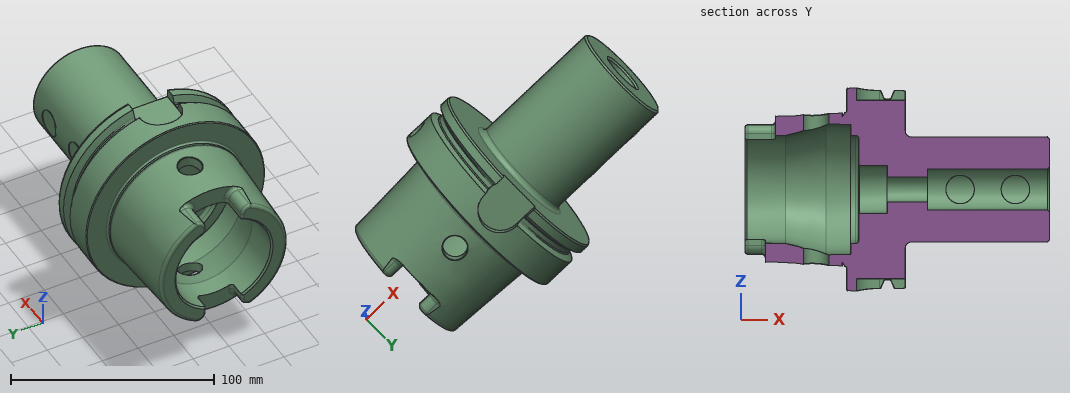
import cadquery as cq
import math


shank_length = 50.0
taper_slope = 1 / 20
root_radius = 37.75
taper_end_x = -2.8
tip_radius = root_radius - taper_slope * (shank_length + taper_end_x)
tip_fillet = 1.8

root_groove_x = -2.0
root_groove_depth = 1.6
collar_radius = 37.9
collar_fillet = 1.0

flange_radius = 50.0
flange_width = 29.0
flange_front_chamfer = 0.5
flange_rear_chamfer_length = 1.0
flange_rear_chamfer_height = 0.5

grip_groove_x = 20.15
grip_groove_radius = 46.0
grip_groove_half_floor = 1.6
grip_groove_half_mouth = 3.4
grip_groove_fillet = 0.7

nose_radius = 26.0
nose_end = 99.9
nose_chamfer = 1.0
neck_fillet = 3.0

entry_radius = 26.5
entry_chamfer = 0.9
entry_depth = 20.0
undercut_radius = 32.0
undercut_cone_length = 20.0
undercut_end_x = 2.0
cavity_floor_x = 6.0
cavity_fillet = 1.5
thread_radius = 11.8
thread_chamfer = 0.4
thread_depth = 14.0
coolant_hole_radius = 6.1
tool_bore_radius = 10.0
tool_bore_depth = 60.0
tool_bore_chamfer = 1.0

slot_half_width = 10.0
slot_top = 31.9
slot_lip_radius = 4.3
slot_lip_slope = math.radians(8)
slot_floor_fillet = 1.9
slot_mouth_fillet = 1.5
upper_slot_depth = 15.0
lower_slot_depth = 10.0

cross_hole_x = -15.0
cross_hole_radius = 6.15
cross_hole_chamfer = 0.3
chip_hole_x = 7.1
chip_hole_radius = 5.0
chip_hole_depth = 4.6

keyway_half_width = 11.1
keyway_start_x = 5.0
keyway_floor = 44.0

screw_radius = 7.0
screw_x_places = (55.9, 83.1)
screw_head_y = 25.4


def turn(profile):
    """Closes a profile that ends on the X axis and revolves it about that axis."""
    return profile.close().revolve(360, (0, 0, 0), (1, 0, 0))


def turned_body():
    """Outside shape of shank, flange and nose."""
    body = turn(
        cq.Workplane("XY")
        .moveTo(-shank_length, 0)
        .lineTo(-shank_length, tip_radius)
        .lineTo(taper_end_x, root_radius)
        .lineTo(root_groove_x, root_radius)
        .lineTo(root_groove_x, root_radius - root_groove_depth)
        .lineTo(-collar_fillet, collar_radius)
        .radiusArc((0, collar_radius + collar_fillet), -collar_fillet)
        .lineTo(0, flange_radius - flange_front_chamfer)
        .lineTo(flange_front_chamfer, flange_radius)
        .lineTo(flange_width - flange_rear_chamfer_length, flange_radius)
        .lineTo(flange_width, flange_radius - flange_rear_chamfer_height)
        .lineTo(flange_width, nose_radius + neck_fillet)
        .radiusArc((flange_width + neck_fillet, nose_radius), -neck_fillet)
        .lineTo(nose_end - nose_chamfer, nose_radius)
        .lineTo(nose_end, nose_radius - nose_chamfer)
        .lineTo(nose_end, 0)
    )
    return body.faces("<X").edges().fillet(tip_fillet).cut(grip_groove())


def grip_groove():
    """Ring to cut the V-shaped gripper groove, with rounded floor corners."""
    ring = turn(
        cq.Workplane("XY")
        .moveTo(grip_groove_x - grip_groove_half_mouth, flange_radius)
        .lineTo(grip_groove_x - grip_groove_half_floor, grip_groove_radius)
        .lineTo(grip_groove_x + grip_groove_half_floor, grip_groove_radius)
        .lineTo(grip_groove_x + grip_groove_half_mouth, flange_radius)
    )
    return ring.edges(cq.selectors.RadiusNthSelector(0)).fillet(grip_groove_fillet)


def axial_bore():
    """Stepped bore along the whole axis, as a solid to cut away."""
    tip_x = -shank_length
    entry_end = tip_x + entry_depth
    thread_end = cavity_floor_x + thread_depth
    tool_stop = nose_end - tool_bore_depth
    return turn(
        cq.Workplane("XY")
        .moveTo(tip_x, 0)
        .lineTo(tip_x, entry_radius + entry_chamfer)
        .lineTo(tip_x + entry_chamfer, entry_radius)
        .lineTo(entry_end, entry_radius)
        .lineTo(entry_end + undercut_cone_length, undercut_radius)
        .lineTo(undercut_end_x, undercut_radius)
        .lineTo(undercut_end_x, entry_radius)
        .lineTo(cavity_floor_x - cavity_fillet, entry_radius)
        .radiusArc((cavity_floor_x, entry_radius - cavity_fillet), cavity_fillet)
        .lineTo(cavity_floor_x, thread_radius + thread_chamfer)
        .lineTo(cavity_floor_x + thread_chamfer, thread_radius)
        .lineTo(thread_end, thread_radius)
        .lineTo(thread_end, coolant_hole_radius)
        .lineTo(tool_stop, coolant_hole_radius)
        .lineTo(tool_stop, tool_bore_radius)
        .lineTo(nose_end - tool_bore_chamfer, tool_bore_radius)
        .lineTo(nose_end, tool_bore_radius + tool_bore_chamfer)
        .lineTo(nose_end, 0)
    )


def slot_wall_edges(x):
    """Selects the edges at x that belong to the walls and lips of a driving slot."""
    margin = 0.1
    half_width = slot_half_width + 2 * slot_lip_radius
    return cq.selectors.BoxSelector(
        (x - margin, -half_width, margin),
        (x + margin, half_width, slot_top + margin),
    )


def driving_slot(depth):
    """Solid to cut a slot with rounded lips into the upper side of the shank tip."""
    lip_y = slot_half_width + slot_lip_radius
    lip_z = slot_top - slot_lip_radius
    lip_end_y = lip_y + slot_lip_radius * math.sin(slot_lip_slope)
    lip_end_z = lip_z + slot_lip_radius * math.cos(slot_lip_slope)
    reach = flange_radius
    reach_z = lip_end_z - (reach - lip_end_y) * math.tan(slot_lip_slope)
    slot = (
        cq.Workplane("YZ", origin=(-shank_length, 0, 0))
        .moveTo(-slot_half_width, 0)
        .lineTo(slot_half_width, 0)
        .lineTo(slot_half_width, lip_z)
        .radiusArc((lip_end_y, lip_end_z), slot_lip_radius)
        .lineTo(reach, reach_z)
        .lineTo(reach, reach)
        .lineTo(-reach, reach)
        .lineTo(-reach, reach_z)
        .lineTo(-lip_end_y, lip_end_z)
        .radiusArc((-slot_half_width, lip_z), slot_lip_radius)
        .close()
        .extrude(depth)
    )
    slot = slot.edges(slot_wall_edges(depth - shank_length)).fillet(slot_floor_fillet)
    plate = (
        cq.Workplane("YZ", origin=(-shank_length, 0, 0))
        .rect(4 * reach, 4 * reach)
        .extrude(-slot_mouth_fillet)
    )
    return slot.union(plate).edges(slot_wall_edges(-shank_length)).fillet(slot_mouth_fillet)


def keyway():
    """Solid to cut a keyway with a round front end into the upper side of the flange."""
    centre_x = keyway_start_x + keyway_half_width
    return (
        cq.Workplane("XY", origin=(0, 0, keyway_floor))
        .moveTo(flange_width, -keyway_half_width)
        .lineTo(centre_x, -keyway_half_width)
        .threePointArc((keyway_start_x, 0), (centre_x, keyway_half_width))
        .lineTo(flange_width, keyway_half_width)
        .close()
        .extrude(flange_radius - keyway_floor)
    )


def cut_cross_hole(body):
    """Drills through both walls of the shank and chamfers the outer rims."""
    drill = (
        cq.Workplane("XY", origin=(cross_hole_x, 0, -flange_radius))
        .circle(cross_hole_radius)
        .extrude(2 * flange_radius)
    )
    body = body.cut(drill)
    rim_reach = cross_hole_radius + cross_hole_chamfer
    for low, high in ((undercut_radius, flange_radius), (-flange_radius, -undercut_radius)):
        rim = cq.selectors.BoxSelector(
            (cross_hole_x - rim_reach, -rim_reach, low),
            (cross_hole_x + rim_reach, rim_reach, high),
            boundingbox=True,
        )
        body = body.edges(rim).chamfer(cross_hole_chamfer)
    return body


def chip_hole():
    """Blind hole for a data chip in the -Y side of the flange."""
    return (
        cq.Workplane("XZ", origin=(chip_hole_x, chip_hole_depth - flange_radius, 0))
        .circle(chip_hole_radius)
        .extrude(chip_hole_depth)
    )


def screw_cylinder(x, outer_y):
    """Cylinder along Y, from the wall of the tool bore out to outer_y."""
    return (
        cq.Workplane("XZ", origin=(x, 0, 0))
        .circle(screw_radius)
        .extrude(-outer_y)
        .cut(cq.Workplane("YZ").circle(tool_bore_radius).extrude(nose_end))
    )


def make_holder():
    holder = turned_body().cut(axial_bore())
    holder = cut_cross_hole(holder)
    for slot_depth, turn_angle in ((upper_slot_depth, 0), (lower_slot_depth, 180)):
        for cutter in (driving_slot(slot_depth), keyway()):
            holder = holder.cut(cutter.rotate((0, 0, 0), (1, 0, 0), turn_angle))
    holder = holder.cut(chip_hole())
    for x in screw_x_places:
        holder = holder.cut(screw_cylinder(x, nose_radius))
    return holder.solids()


def make_clamping_screw(x):
    return screw_cylinder(x, screw_head_y).solids()


holder = make_holder()
clamping_screws = [make_clamping_screw(x) for x in screw_x_places]
result = cq.Compound.makeCompound([holder.val(), *[screw.val() for screw in clamping_screws]])